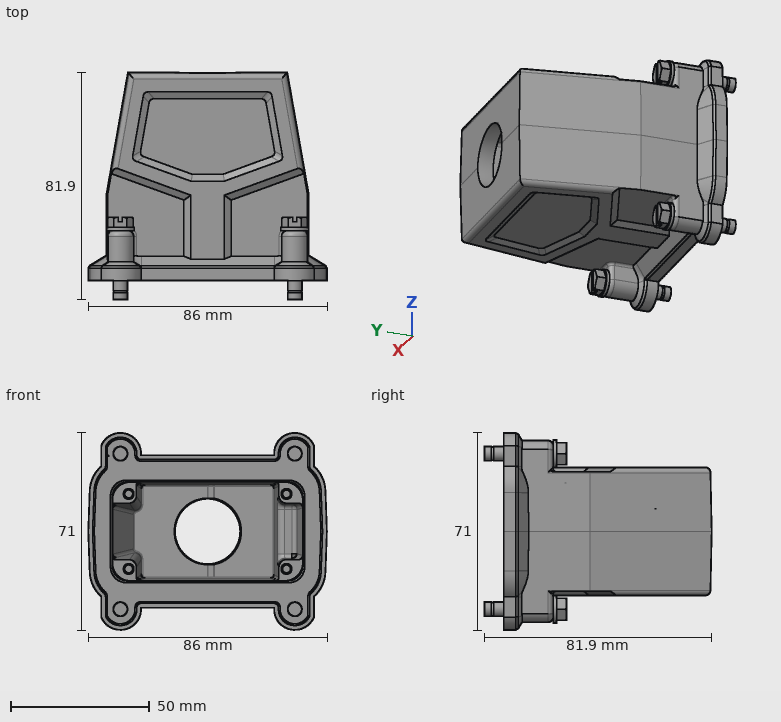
import cadquery as cq
import math


FLANGE_HALF_WIDTH = 43.0
FLANGE_SHOULDER_X = 42.5
FLANGE_SHOULDER_Z = 14.1
FLANGE_HALF_HEIGHT = 27.5
FLANGE_THICKNESS = 5.0
SHOULDER_RADIUS = 12.6
EAR_RADIUS = 7.5
EAR_OUTER_X = 38.35
RIM_WIDTH = 1.6
RECESS_DEPTH = 2.5
RECESS_DRAFT = 14.0
SKIRT_HEIGHT = 3.8
SKIRT_ANGLE = 58.2
BEVEL_LENGTH = 0.6
BEVEL_HEIGHT = BEVEL_LENGTH * (1 + math.cos(math.radians(SKIRT_ANGLE)))

SCREW_X = 31.4
SCREW_Z = 28.0
SCREW_DIAMETER = 5.2
SCREW_PROTRUSION = 6.9
GROOVE_Y = -4.4
GROOVE_WIDTH = 0.8
GROOVE_DEPTH = 0.15
BOSS_RADIUS = 4.75
BOSS_TOP_Y = 17.9
BOSS_FILLET = 1.9
BOSS_ROOT_Z = 19.0
BOSS_FOOT_FILLET = 1.0
WASHER_RADIUS = 5.0
WASHER_THICKNESS = 1.2
HEAD_SIDES = 6
HEAD_ACROSS_FLATS = 8.0
HEAD_HEIGHT = 3.6
HEAD_CHAMFER = 0.3
SLOT_WIDTH = 1.5
SLOT_DEPTH = 1.6

BODY_HALF_WIDTH = 36.45
BODY_HALF_HEIGHT = 23.1
BODY_END_Y = 75.0
TAPER_START_Y = 31.0
TAPER_ANGLE = math.radians(10.0)
BODY_START_Y = 3.0
BODY_DRAFT = 1.2
BODY_FILLET = 2.0

RELIEF_DEPTH = 1.6
RELIEF_SLOPE_WIDTH = 2.5
RELIEF_RAKE = math.tan(math.radians(20.0))
WEB_HALF_WIDTH = 6.0
PANEL_TOP_Y = 30.7
PANEL_REACH_X = 50.0
PANEL_START_Y = -5.0
PANEL_EDGE_FILLET = 1.1
PANEL_BASE_END_Y = 44.0
EMBLEM_TOP_Y = 67.9
EMBLEM_BOTTOM_Y = 35.75
EMBLEM_TOP_HALF_WIDTH = 22.9
EMBLEM_SIDE_HALF_WIDTH = 27.2
EMBLEM_DEPTH = 1.2
EMBLEM_CORNER = 4.2

MOUTH_HALF_WIDTH = 34.4
MOUTH_HALF_HEIGHT = 17.9
MOUTH_RADIUS = 6.2
MOUTH_CHAMFER = 0.6
POST_FACE_Y = 11.0
FLOOR_Y = 71.0
FLOOR_STEP = 2.2
FLOOR_HALF_HEIGHT = 16.7
CAVITY_SLOPE = (MOUTH_HALF_HEIGHT - FLOOR_HALF_HEIGHT) / FLOOR_Y
CAVITY_DRAFT = math.degrees(math.atan(CAVITY_SLOPE))
POST_INNER_X = 25.7
POST_INNER_X_FLOOR = 23.8
FLOOR_FILLET = 0.4
POST_INNER_Z = 10.2
POST_INNER_Z_FLOOR = 7.4
POST_CORNER_RADIUS = 2.5
POCKET_X_FACE = MOUTH_HALF_WIDTH - POST_FACE_Y * CAVITY_SLOPE
POCKET_X_FLOOR = 26.7
POCKET_TAPER_Y = 31.0
LEDGE_Y = 26.0
LEDGE_END_X = 31.9
LEDGE_FILLET = 1.8
LEDGE_SIDE_FILLET = 1.6
CAVITY_CORNER_FILLET = 1.2
POST_HOLE_X = 28.4
POST_HOLE_Z = 13.5
POST_HOLE_DIAMETER = 2.9
POST_HOLE_DEPTH = 10.0
POST_HOLE_CHAMFER = 0.45
CABLE_HOLE_DIAMETER = 23.4
CABLE_HOLE_INNER_DIAMETER = 24.3

SIGNS = (1, -1)

EDGE_MARGIN = 1.0
PLANE_MARGIN = 0.1


def end_plane(y):
    """Sketch plane at height y whose local axes are X and Z, facing -Y."""
    return cq.Workplane("XZ", origin=(0, y, 0))


def extrude_up(sketch, height, taper=0.0):
    """Extrude an XZ sketch toward +Y."""
    return sketch.extrude(-height, taper=taper)


def mirror_points(points):
    """Complete a right-hand chain of points with its mirror image in X."""
    return points + [(-x, y) for x, y in reversed(points)]


def mirror_z(half):
    """Join a part with its mirror image below the parting plane."""
    return half.union(half.mirror("XY"))


def box_between(x_range, y_range, z_range):
    """Axis-aligned box given its limits along each axis."""
    size = [high - low for low, high in (x_range, y_range, z_range)]
    corner = cq.Vector(x_range[0], y_range[0], z_range[0])
    return cq.Workplane(cq.Solid.makeBox(*size, pnt=corner))


def flange_outline(y):
    """Flange outline: kinked sides, rounded shoulders and four ears."""
    ear_outer_z = SCREW_Z + math.sqrt(EAR_RADIUS**2 - (EAR_OUTER_X - SCREW_X) ** 2)
    ear_inner_x = SCREW_X - math.sqrt(EAR_RADIUS**2 - (FLANGE_HALF_HEIGHT - SCREW_Z) ** 2)
    shoulder_centre_x = FLANGE_SHOULDER_X - SHOULDER_RADIUS
    shoulder_end = math.acos((EAR_OUTER_X - shoulder_centre_x) / SHOULDER_RADIUS)

    def on_shoulder(angle):
        return (
            shoulder_centre_x + SHOULDER_RADIUS * math.cos(angle),
            FLANGE_SHOULDER_Z + SHOULDER_RADIUS * math.sin(angle),
        )

    quadrant = (
        end_plane(y)
        .moveTo(FLANGE_HALF_WIDTH, 0)
        .lineTo(FLANGE_SHOULDER_X, FLANGE_SHOULDER_Z)
        .threePointArc(on_shoulder(shoulder_end / 2), on_shoulder(shoulder_end))
        .lineTo(EAR_OUTER_X, ear_outer_z)
        .threePointArc((SCREW_X, SCREW_Z + EAR_RADIUS), (ear_inner_x, FLANGE_HALF_HEIGHT))
        .lineTo(0, FLANGE_HALF_HEIGHT)
    )
    return quadrant.mirrorY().mirrorX()


def make_flange():
    """Flange plate with the sloping skirt that runs up to the body."""
    plate = extrude_up(flange_outline(0), FLANGE_THICKNESS - BEVEL_LENGTH)
    bevel_sketch = flange_outline(FLANGE_THICKNESS - BEVEL_LENGTH)
    bevel = extrude_up(bevel_sketch, BEVEL_HEIGHT, SKIRT_ANGLE / 2)
    skirt_sketch = bevel.faces(">Y").wires().toPending()
    skirt = skirt_sketch.extrude(-SKIRT_HEIGHT, taper=SKIRT_ANGLE, combine=False)
    return plate.union(bevel).union(skirt)


def flange_recess():
    """Shallow recess inside the sealing rim."""
    outline = flange_outline(0).offset2D(-RIM_WIDTH)
    return extrude_up(outline, RECESS_DEPTH, RECESS_DRAFT)


def body_half_width(y):
    """Half width of the body at the parting plane."""
    return BODY_HALF_WIDTH - max(0.0, y - TAPER_START_Y) * math.tan(TAPER_ANGLE)


def body_block(end_y, height):
    """Upper half of a drafted block that follows the body sides up to end_y."""
    outline = mirror_points([
        (BODY_HALF_WIDTH, BODY_START_Y),
        (BODY_HALF_WIDTH, TAPER_START_Y),
        (body_half_width(end_y), end_y),
    ])
    return cq.Workplane("XY").polyline(outline).close().extrude(height, taper=BODY_DRAFT)


def relief_cutter(points, depth):
    """Sunken field with sloping edges, reaching down from the broad face."""
    sketch = cq.Workplane("XY", origin=(0, 0, BODY_HALF_HEIGHT)).polyline(points).close()
    slope_angle = math.degrees(math.atan2(RELIEF_SLOPE_WIDTH, depth))
    return sketch.extrude(-depth, taper=slope_angle)


def panel_cutters():
    """The two side panels, left and right of the raised web."""
    reach_y = PANEL_TOP_Y + (PANEL_REACH_X - WEB_HALF_WIDTH) * RELIEF_RAKE
    outline = [
        (WEB_HALF_WIDTH, PANEL_START_Y),
        (WEB_HALF_WIDTH, PANEL_TOP_Y),
        (PANEL_REACH_X, reach_y),
        (PANEL_REACH_X, PANEL_START_Y),
    ]
    cutter = relief_cutter(outline, RELIEF_DEPTH)
    return cutter.union(cutter.mirror("YZ"))


def emblem_cutter():
    """The six-sided emblem field near the closed end."""
    side_y = EMBLEM_BOTTOM_Y + (EMBLEM_SIDE_HALF_WIDTH - WEB_HALF_WIDTH) * RELIEF_RAKE
    outline = mirror_points([
        (WEB_HALF_WIDTH, EMBLEM_BOTTOM_Y),
        (EMBLEM_SIDE_HALF_WIDTH, side_y),
        (EMBLEM_TOP_HALF_WIDTH, EMBLEM_TOP_Y),
    ])
    cutter = relief_cutter(outline, EMBLEM_DEPTH)
    corner_zone = cq.selectors.BoxSelector(
        (-PANEL_REACH_X, side_y, 0), (PANEL_REACH_X, BODY_END_Y, BODY_HALF_HEIGHT)
    )
    return cutter.edges("not #Z").edges(corner_zone).fillet(EMBLEM_CORNER)


def make_body():
    """Tapered block with rounded edges, relief panels and emblem fields."""
    block = body_block(BODY_END_Y, BODY_HALF_HEIGHT)
    block = block.edges(">Z or (>Y and (not #Z))").fillet(BODY_FILLET)
    block = block.cut(panel_cutters()).cut(emblem_cutter())
    panel_base = body_block(PANEL_BASE_END_Y, BODY_HALF_HEIGHT - RELIEF_DEPTH)
    panel_base = panel_base.faces(">Z").edges("not |X").fillet(PANEL_EDGE_FILLET)
    return mirror_z(block.union(panel_base))


def make_boss():
    """Screw boss in the upper right corner: a round pillar blended into the body side."""
    inner_x = SCREW_X - BOSS_RADIUS
    draft_slope = math.tan(math.radians(BODY_DRAFT))
    root_x = BODY_HALF_WIDTH - BOSS_ROOT_Z * draft_slope
    outer_x = BODY_HALF_WIDTH - SCREW_Z * draft_slope
    outer_z = SCREW_Z + math.sqrt(BOSS_RADIUS**2 - (outer_x - SCREW_X) ** 2)
    outer_x_top = BODY_HALF_WIDTH - outer_z * draft_slope
    profile = (
        end_plane(BODY_START_Y)
        .moveTo(inner_x, BOSS_ROOT_Z)
        .lineTo(inner_x, SCREW_Z)
        .threePointArc((SCREW_X, SCREW_Z + BOSS_RADIUS), (outer_x_top, outer_z))
        .lineTo(root_x, BOSS_ROOT_Z)
        .close()
    )
    boss = extrude_up(profile, BOSS_TOP_Y - BODY_START_Y)
    return boss.faces(">Y").edges("not <Z").fillet(BOSS_FILLET)


def make_housing():
    """Body with its four screw bosses, blended where the bosses stand on the panels."""
    housing = make_body().union(in_four_corners(make_boss()))
    panel_z = BODY_HALF_HEIGHT - RELIEF_DEPTH
    foot_x = SCREW_X - BOSS_RADIUS - EDGE_MARGIN
    for side in SIGNS:
        for face in SIGNS:
            foot = cq.selectors.BoxSelector(
                (side * foot_x, BODY_START_Y + EDGE_MARGIN, face * (panel_z - PLANE_MARGIN)),
                (side * BODY_HALF_WIDTH, BOSS_TOP_Y + EDGE_MARGIN, face * (panel_z + PLANE_MARGIN)),
            )
            housing = housing.edges(foot).fillet(BOSS_FOOT_FILLET)
    return housing


def make_screw():
    """Slotted hexagon screw with washer, in the upper right corner."""
    washer_top = BOSS_TOP_Y + WASHER_THICKNESS
    head_top = washer_top + HEAD_HEIGHT
    corner_diameter = HEAD_ACROSS_FLATS / math.cos(math.pi / HEAD_SIDES)

    shank_sketch = end_plane(-SCREW_PROTRUSION).circle(SCREW_DIAMETER / 2)
    shank = extrude_up(shank_sketch, SCREW_PROTRUSION + BOSS_TOP_Y)
    groove_sketch = end_plane(GROOVE_Y).circle(SCREW_DIAMETER).circle(SCREW_DIAMETER / 2 - GROOVE_DEPTH)
    shank = shank.cut(extrude_up(groove_sketch, GROOVE_WIDTH))

    washer = extrude_up(end_plane(BOSS_TOP_Y).circle(WASHER_RADIUS), WASHER_THICKNESS)

    head = extrude_up(end_plane(washer_top).polygon(HEAD_SIDES, corner_diameter), HEAD_HEIGHT)
    crown_sketch = end_plane(washer_top).circle(corner_diameter / 2)
    crown = extrude_up(crown_sketch, HEAD_HEIGHT).faces(">Y").chamfer(HEAD_CHAMFER)
    slot = box_between(
        (-SLOT_WIDTH / 2, SLOT_WIDTH / 2),
        (head_top - SLOT_DEPTH, head_top),
        (-corner_diameter, corner_diameter),
    )
    head = head.intersect(crown).cut(slot)
    return shank.union(washer).union(head).translate((SCREW_X, 0, SCREW_Z))


def in_four_corners(feature):
    """Copies of an upper right feature in all four corners."""
    right = mirror_z(feature)
    return right.union(right.mirror("YZ"))


def cavity_mouth():
    """Rounded opening in front of the contact insert posts."""
    sketch = end_plane(0).rect(2 * MOUTH_HALF_WIDTH, 2 * MOUTH_HALF_HEIGHT)
    mouth = extrude_up(sketch, POST_FACE_Y, CAVITY_DRAFT).edges("not #Y").fillet(MOUTH_RADIUS)
    flare_sketch = end_plane(RECESS_DEPTH).rect(
        2 * (MOUTH_HALF_WIDTH + MOUTH_CHAMFER), 2 * (MOUTH_HALF_HEIGHT + MOUTH_CHAMFER)
    )
    flare_depth = 2 * MOUTH_CHAMFER
    flare_angle = math.degrees(math.atan2(MOUTH_CHAMFER, flare_depth))
    flare = extrude_up(flare_sketch, flare_depth, flare_angle)
    flare = flare.edges("not #Y").fillet(MOUTH_RADIUS + MOUTH_CHAMFER)
    return mouth.union(flare)


def drafted_chamber(front_half_size, floor_half_size):
    """Rectangular chamber running from the post faces to the floor with drafted walls."""
    return (
        end_plane(POST_FACE_Y)
        .rect(2 * front_half_size[0], 2 * front_half_size[1])
        .workplane(offset=POST_FACE_Y - FLOOR_Y)
        .rect(2 * floor_half_size[0], 2 * floor_half_size[1])
        .loft(ruled=True)
    )


def left_pocket():
    """Full-depth pocket between the left posts, following the tapered side wall."""
    outline = [
        (0, POST_FACE_Y),
        (-POCKET_X_FACE, POST_FACE_Y),
        (-POCKET_X_FACE, POCKET_TAPER_Y),
        (-POCKET_X_FLOOR, FLOOR_Y),
        (0, FLOOR_Y),
    ]
    return cq.Workplane("XY").polyline(outline).close().extrude(POST_INNER_Z, both=True)


def right_pocket():
    """Short pocket between the right posts, ending on a ledge."""
    outline = [
        (0, POST_FACE_Y),
        (POCKET_X_FACE, POST_FACE_Y),
        (LEDGE_END_X, LEDGE_Y),
        (0, LEDGE_Y),
    ]
    pocket = cq.Workplane("XY").polyline(outline).close().extrude(POST_INNER_Z, both=True)
    return pocket.faces(">Y").edges(">X").fillet(LEDGE_FILLET)


def make_pockets():
    """Both pockets, narrowed toward the floor and rounded along the post sides."""
    wedge = drafted_chamber((POCKET_X_FACE, POST_INNER_Z), (POCKET_X_FACE, POST_INNER_Z_FLOOR))
    pockets = left_pocket().union(right_pocket()).intersect(wedge)
    start_y = POST_FACE_Y + EDGE_MARGIN
    left_sides = cq.selectors.BoxSelector(
        (-POCKET_X_FACE - EDGE_MARGIN, start_y, -POST_INNER_Z),
        (-EDGE_MARGIN, FLOOR_Y - EDGE_MARGIN, POST_INNER_Z),
    )
    right_sides = cq.selectors.BoxSelector(
        (LEDGE_END_X - EDGE_MARGIN, start_y, -POST_INNER_Z),
        (POCKET_X_FACE, LEDGE_Y - LEDGE_FILLET, POST_INNER_Z),
    )
    pockets = pockets.edges(left_sides).edges("not |Z").fillet(CAVITY_CORNER_FILLET)
    return pockets.edges(right_sides).edges("not |Z").fillet(LEDGE_SIDE_FILLET)


def make_cavity():
    """Chamber between the posts, with a pocket between each pair of posts."""
    front_half_height = MOUTH_HALF_HEIGHT - POST_FACE_Y * CAVITY_SLOPE
    core = drafted_chamber((POST_INNER_X, front_half_height), (POST_INNER_X_FLOOR, FLOOR_HALF_HEIGHT))
    core = core.edges("not #Y").fillet(CAVITY_CORNER_FILLET)
    cavity = core.cut(floor_step()).union(make_pockets().cut(floor_step()))

    start_y = POST_FACE_Y + EDGE_MARGIN
    left_post_edges = cq.selectors.BoxSelector(
        (-POST_INNER_X, start_y, -POST_INNER_Z),
        (0, FLOOR_Y - EDGE_MARGIN, POST_INNER_Z),
    )
    right_post_edges = cq.selectors.BoxSelector(
        (POST_INNER_X_FLOOR, start_y, -POST_INNER_Z),
        (POST_INNER_X, LEDGE_Y - EDGE_MARGIN, POST_INNER_Z),
    )
    floor_edges = cq.selectors.BoxSelector(
        (-POCKET_X_FLOOR - EDGE_MARGIN, FLOOR_Y - FLOOR_STEP - PLANE_MARGIN, -MOUTH_HALF_HEIGHT),
        (POCKET_X_FLOOR, FLOOR_Y + EDGE_MARGIN, MOUTH_HALF_HEIGHT),
    )
    cavity = cavity.edges(left_post_edges).fillet(POST_CORNER_RADIUS)
    cavity = cavity.edges(right_post_edges).fillet(POST_CORNER_RADIUS)
    return cavity.edges(floor_edges).fillet(FLOOR_FILLET)


def floor_step():
    """Raised right half of the cavity floor with a 45 degree flank."""
    outline = [
        (0, FLOOR_Y),
        (FLOOR_STEP, FLOOR_Y - FLOOR_STEP),
        (MOUTH_HALF_WIDTH, FLOOR_Y - FLOOR_STEP),
        (MOUTH_HALF_WIDTH, FLOOR_Y),
    ]
    sketch = cq.Workplane("XY").polyline(outline).close()
    return sketch.extrude(MOUTH_HALF_HEIGHT, both=True)


def post_hole():
    """Countersunk screw hole in the upper right post."""
    hole = extrude_up(end_plane(POST_FACE_Y).circle(POST_HOLE_DIAMETER / 2), POST_HOLE_DEPTH)
    sink = cq.Solid.makeCone(
        POST_HOLE_DIAMETER / 2 + POST_HOLE_CHAMFER,
        POST_HOLE_DIAMETER / 2,
        POST_HOLE_CHAMFER,
        pnt=cq.Vector(0, POST_FACE_Y, 0),
        dir=cq.Vector(0, 1, 0),
    )
    return hole.union(cq.Workplane(sink)).translate((POST_HOLE_X, 0, POST_HOLE_Z))


def cable_hole():
    """Cable entry through the closed end, slightly wider inside."""
    start_y = FLOOR_Y - FLOOR_STEP
    cone = cq.Solid.makeCone(
        CABLE_HOLE_INNER_DIAMETER / 2,
        CABLE_HOLE_DIAMETER / 2,
        BODY_END_Y - start_y,
        pnt=cq.Vector(0, start_y, 0),
        dir=cq.Vector(0, 1, 0),
    )
    return cq.Workplane(cone)


result = make_flange().union(make_housing())
result = result.cut(flange_recess()).cut(cavity_mouth()).cut(make_cavity())
result = result.cut(in_four_corners(post_hole())).cut(cable_hole())
result = result.union(in_four_corners(make_screw()))